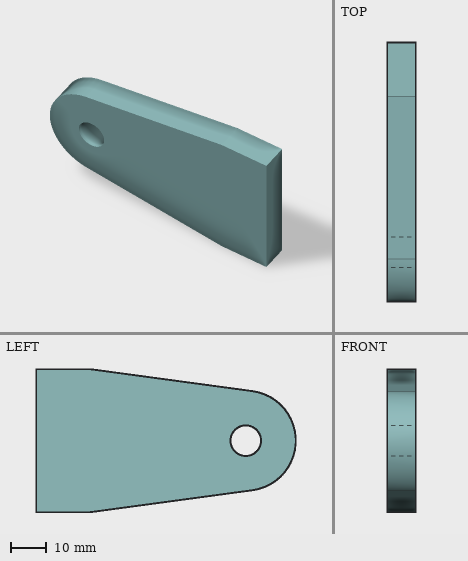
import cadquery as cq
import math

length = 72.45
height = 40.0
thickness = 8.0
square_length = 15.0
nose_radius = 14.0
hole_diameter = 8.5

nose_tip_y = -nose_radius
back_y = nose_tip_y + length
shoulder_y = back_y - square_length
half_height = height / 2

shoulder_distance = math.hypot(shoulder_y, half_height)
shoulder_angle = math.atan2(half_height, shoulder_y)
tangent_angle = shoulder_angle + math.acos(nose_radius / shoulder_distance)
tangent_y = nose_radius * math.cos(tangent_angle)
tangent_z = nose_radius * math.sin(tangent_angle)

plate = (
    cq.Workplane("YZ", origin=(-thickness / 2, 0, 0))
    .moveTo(back_y, -half_height)
    .lineTo(back_y, half_height)
    .lineTo(shoulder_y, half_height)
    .lineTo(tangent_y, tangent_z)
    .threePointArc((nose_tip_y, 0), (tangent_y, -tangent_z))
    .lineTo(shoulder_y, -half_height)
    .close()
    .extrude(thickness)
)

result = plate.faces(">X").workplane(origin=(0, 0, 0)).hole(hole_diameter)